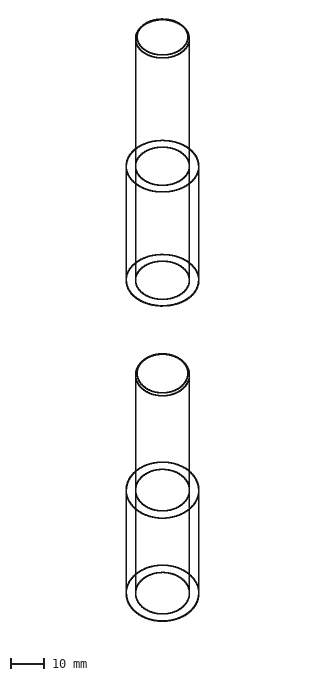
import cadquery as cq
import math

overall_length = 101.6
rod_diameter = 15.875
chamfer_height = 0.79375
chamfer_angle = 30
sleeve_diameter = 21.43
sleeve_length = 47.625

chamfer_inset = chamfer_height * math.tan(math.radians(chamfer_angle))


def make_rod():
    """Full-length round rod with a steep chamfer around its upper end."""
    rod = cq.Workplane("XY").circle(rod_diameter / 2).extrude(overall_length)
    return rod.faces(">Z").chamfer(chamfer_height, chamfer_inset)


def make_sleeve():
    """Plain tube fitted around the lower end of the rod, flush with its base."""
    return (
        cq.Workplane("XY")
        .circle(sleeve_diameter / 2)
        .circle(rod_diameter / 2)
        .extrude(sleeve_length)
    )


rod = make_rod()
sleeve = make_sleeve()

result = cq.Compound.makeCompound([rod.val(), sleeve.val()])